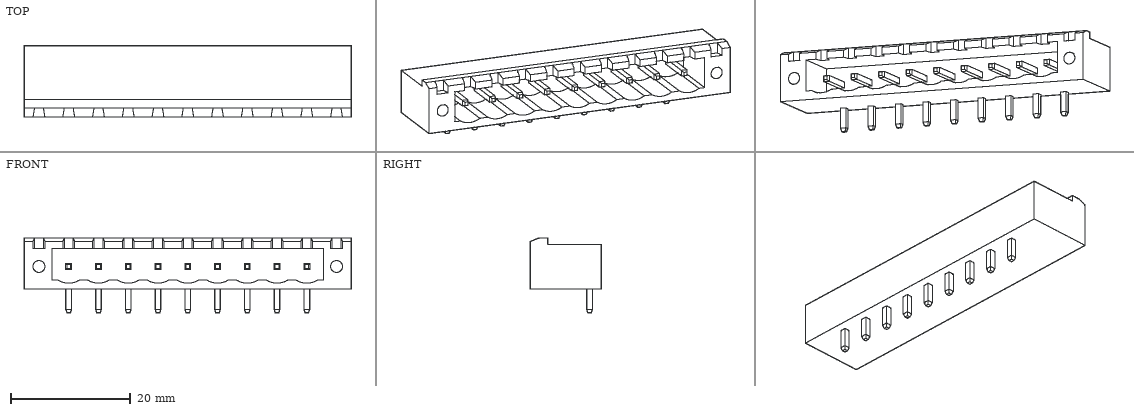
import cadquery as cq

pin_count = 9
pitch = 5.0
width = (pin_count + 2) * pitch
depth = 12.0

roof_height = 7.5
ridge_height = 8.6
ridge_depth = 3.0
slope_depth = 1.5
slope_drop = 0.6

end_wall = 4.7
cavity_width = width - 2 * end_wall
cavity_depth = 9.0
cavity_top = 6.8
floor_height = 1.5
scallop_half_width = 1.78
scallop_sag = 0.5

slot_depth = slope_depth
slot_front_width = 2.0
slot_back_width = 1.5

axis_height = 3.8
insert_diameter = 4.0
insert_hole_diameter = 2.0
insert_depth = cavity_depth

pin_size = 1.0
pin_tip_size = 0.6
pin_taper_length = 0.6
pin_drop = 4.0
pin_row_setback = 2.0
pin_row_y = depth - pin_row_setback
pin_front_y = 1.6

first_pin_x = -(pin_count - 1) * pitch / 2
pin_positions = [first_pin_x + i * pitch for i in range(pin_count)]
insert_positions = [first_pin_x - pitch, -first_pin_x + pitch]
slot_positions = pin_positions + insert_positions


def make_housing():
    """Block with a raised front ridge that slopes down to the front face."""
    profile = [
        (0, 0),
        (depth, 0),
        (depth, roof_height),
        (ridge_depth, roof_height),
        (ridge_depth, ridge_height),
        (slope_depth, ridge_height),
        (0, ridge_height - slope_drop),
    ]
    return cq.Workplane("YZ").polyline(profile).close().extrude(width / 2, both=True)


def make_cavity():
    """Front pocket whose floor dips in an arc below each pin."""
    outline = cq.Workplane("XZ").moveTo(-cavity_width / 2, floor_height)
    for x in pin_positions:
        outline = outline.lineTo(x - scallop_half_width, floor_height)
        outline = outline.threePointArc(
            (x, floor_height - scallop_sag),
            (x + scallop_half_width, floor_height),
        )
    outline = outline.lineTo(cavity_width / 2, floor_height)
    outline = outline.lineTo(cavity_width / 2, cavity_top)
    outline = outline.lineTo(-cavity_width / 2, cavity_top)
    return outline.close().extrude(-cavity_depth)


def make_slot(x):
    """Coding slot that narrows from the front face towards the back."""
    outline = [
        (x - slot_front_width / 2, 0),
        (x + slot_front_width / 2, 0),
        (x + slot_back_width / 2, slot_depth),
        (x - slot_back_width / 2, slot_depth),
    ]
    plane = cq.Workplane("XY").workplane(offset=cavity_top)
    return plane.polyline(outline).close().extrude(ridge_height - cavity_top)


def make_insert_cylinder(x, diameter):
    """Cylinder running back from the front face on an insert axis."""
    plane = cq.Workplane("XZ").center(x, axis_height)
    return plane.circle(diameter / 2).extrude(-insert_depth)


def make_leg(plane, length):
    """Square leg along the plane normal, tapered at its far end."""
    shank_length = length - pin_taper_length
    shank = plane.rect(pin_size, pin_size).extrude(shank_length)
    tip = (
        plane.workplane(offset=shank_length)
        .rect(pin_size, pin_size)
        .workplane(offset=pin_taper_length)
        .rect(pin_tip_size, pin_tip_size)
        .loft(combine=False)
    )
    return shank.union(tip)


def make_pin(x):
    """Right-angle pin: contact leg to the front, solder leg downwards."""
    heel_y = pin_row_y + pin_size / 2
    heel_z = axis_height + pin_size / 2
    contact_plane = cq.Workplane("XZ", origin=(x, heel_y, axis_height))
    solder_plane = cq.Workplane(cq.Plane((x, pin_row_y, heel_z), (1, 0, 0), (0, 0, -1)))
    contact_leg = make_leg(contact_plane, heel_y - pin_front_y)
    solder_leg = make_leg(solder_plane, heel_z + pin_drop)
    return contact_leg.union(solder_leg)


result = make_housing().cut(make_cavity())
for slot_x in slot_positions:
    result = result.cut(make_slot(slot_x))
for pin_x in pin_positions:
    result = result.union(make_pin(pin_x))

for insert_x in insert_positions:
    bore = make_insert_cylinder(insert_x, insert_diameter)
    ring = bore.cut(make_insert_cylinder(insert_x, insert_hole_diameter))
    result = result.cut(bore, clean=False).union(ring, clean=False)